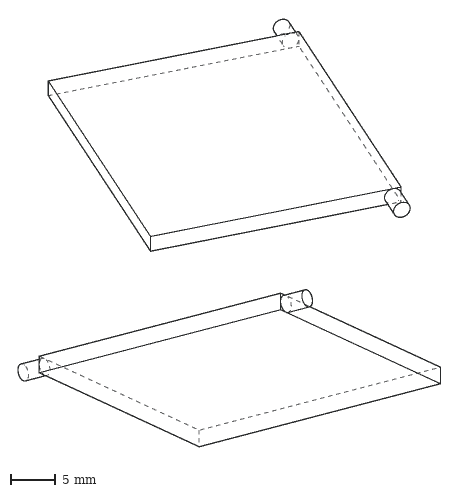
import cadquery as cq

overall_length = 40.0
pin_length = 3.0
plate_depth = 30.0
thickness = 2.0
pin_diameter = thickness

plate_width = overall_length - 2 * pin_length
pin_axis_y = (plate_depth - pin_diameter) / 2

plate = cq.Workplane("XY").box(plate_width, plate_depth, thickness)


def hinge_pin(start_x):
    """Round pin along +X, starting at start_x beside the rear edge of the plate."""
    return (
        cq.Workplane("YZ", origin=(start_x, pin_axis_y, 0))
        .circle(pin_diameter / 2)
        .extrude(pin_length)
    )


result = plate
for start_x in (-overall_length / 2, plate_width / 2):
    result = result.union(hinge_pin(start_x))